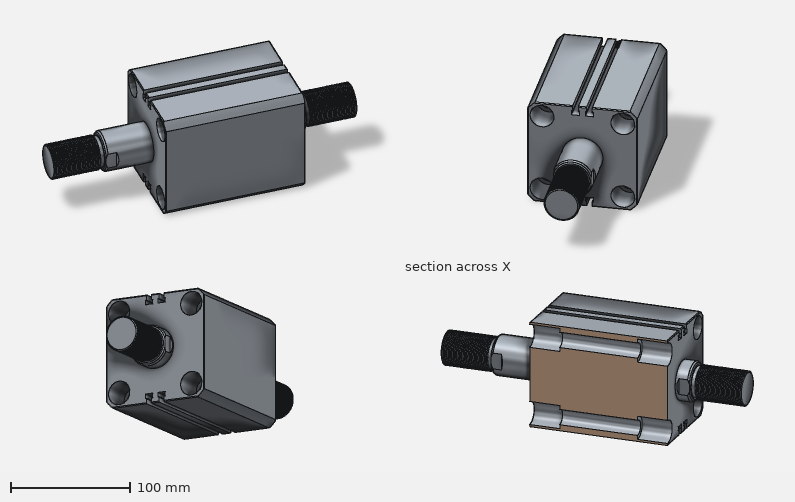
import cadquery as cq

width = 94.0
body_length = 124.2
corner_diameter = 124.2
end_chamfer = 0.8

hole_offset = 34.5
hole_diameter = 13.2
counterbore_diameter = 20.2
counterbore_depth = 27.0

slot_offset = 6.0
slot_neck_width = 4.9
slot_depth = 8.5
slot_head_width = 6.8
slot_head_height = 3.8

overall_length = 270.0
rod_diameter = 35.0
front_shoulder = 42.7
shoulder_chamfer_length = 1.5
shoulder_chamfer_height = 1.0
shoulder_tip_length = 0.8
shoulder_tip_height = 1.4
neck_diameter = 27.5
neck_length = 3.2
thread_diameter = 30.0
thread_depth = 1.0
thread_pitches = 28
thread_length = 41.8
thread_pitch = thread_length / thread_pitches
crest_flat = thread_pitch / 8

across_flats = 32.0
flat_length = 10.0

half_body = body_length / 2
front_reach = front_shoulder + neck_length + thread_length
rear_reach = overall_length - body_length - front_reach
rear_shoulder = rear_reach - neck_length - thread_length


def housing_block():
    """Square block with chamfered end edges and turned long edges."""
    block = cq.Workplane("XY").box(width, body_length, width)
    block = block.faces("<Y or >Y").chamfer(end_chamfer)
    envelope = cq.Workplane("XZ").circle(corner_diameter / 2).extrude(half_body, both=True)
    return block.intersect(envelope)


def screw_holes():
    """Cutter for the four corner holes with a counterbore at each end."""
    centres = [(x, z) for x in (-hole_offset, hole_offset) for z in (-hole_offset, hole_offset)]
    drills = cq.Workplane("XZ").pushPoints(centres).circle(hole_diameter / 2).extrude(half_body, both=True)
    bores = cq.Workplane("XZ").pushPoints(centres).circle(counterbore_diameter / 2)
    bores = bores.extrude(half_body, both=True)
    middle = cq.Workplane("XY").box(width, body_length - 2 * counterbore_depth, width)
    return drills.union(bores.cut(middle))


def t_slot(x, side):
    """Cutter for one T-slot at x, in the top (side = 1) or bottom (side = -1) face."""
    neck_z = side * (width - slot_depth) / 2
    head_z = side * (width / 2 - slot_depth + slot_head_height / 2)
    neck = cq.Workplane("XY").box(slot_neck_width, body_length, slot_depth)
    neck = neck.translate((x, 0, neck_z))
    head = cq.Workplane("XY").box(slot_head_width, body_length, slot_head_height)
    return neck.union(head.translate((x, 0, head_z)))


def make_housing():
    body = housing_block().cut(screw_holes())
    for side in (-1, 1):
        for x in (-slot_offset, slot_offset):
            body = body.cut(t_slot(x, side))
    return body


def rod_profile(shoulder):
    """Half section of a rod in (radius, distance from the housing), with V-shaped thread grooves."""
    rod_radius = rod_diameter / 2
    crest = thread_diameter / 2
    root = crest - thread_depth
    neck_radius = neck_diameter / 2
    bevel_radius = rod_radius - shoulder_chamfer_height
    bevel_end = shoulder - shoulder_tip_length
    thread_start = shoulder + neck_length
    points = [
        (0, 0),
        (rod_radius, 0),
        (rod_radius, bevel_end - shoulder_chamfer_length),
        (bevel_radius, bevel_end),
        (bevel_radius - shoulder_tip_height, shoulder),
        (neck_radius, shoulder),
        (neck_radius, thread_start),
    ]
    for i in range(thread_pitches):
        groove = thread_start + i * thread_pitch
        ridge = groove + thread_pitch / 2
        points += [(root, groove), (crest, ridge - crest_flat / 2), (crest, ridge + crest_flat / 2)]
    thread_end = thread_start + thread_length
    points += [(root, thread_end), (0, thread_end)]
    return points


def flat_cutter(shoulder, side):
    """Cutter for one wrench flat, with a 45 degree run-out at its inner end."""
    flat = side * across_flats / 2
    rim = side * rod_diameter / 2
    runout = (rod_diameter - across_flats) / 2
    start = shoulder - flat_length
    outline = [(flat, start), (flat, shoulder), (rim, shoulder), (rim, start - runout)]
    return cq.Workplane("XY").polyline(outline).close().extrude(rod_diameter / 2, both=True)


def make_rod(shoulder):
    """Rod standing along +Y with its inner end at the origin."""
    rod = cq.Workplane("XY").polyline(rod_profile(shoulder)).close().revolve(360, (0, 0, 0), (0, 1, 0))
    for side in (-1, 1):
        rod = rod.cut(flat_cutter(shoulder, side))
    return rod


housing = make_housing()
rods = []
for direction, shoulder in ((0, rear_shoulder), (180, front_shoulder)):
    rod = make_rod(shoulder).translate((0, half_body, 0))
    rods.append(rod.rotate((0, 0, 0), (0, 0, 1), direction))
result = cq.Compound.makeCompound([housing.val(), *[rod.val() for rod in rods]])